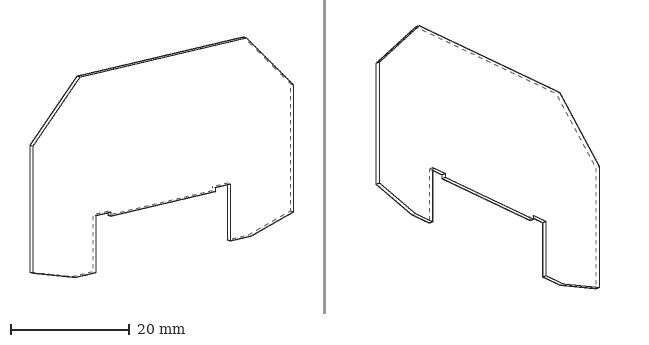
import cadquery as cq

thickness = 0.8
width = 56.5
height = 35.0

top_bevel = 10.2

foot_slope_width = 9.2
foot_slope_height = 2.5

notch_width = 29.1
notch_depth = 10.0
tab_width = 22.7
tab_drop = 0.7


def half_outline():
    """Corner points (y, z) of the +Y half, from the tab up to the top edge."""
    half_width = width / 2
    half_notch = notch_width / 2
    half_tab = tab_width / 2
    tab_bottom = notch_depth - tab_drop
    return [
        (half_tab, tab_bottom),
        (half_tab, notch_depth),
        (half_notch, notch_depth),
        (half_notch, 0),
        (half_width - foot_slope_width, 0),
        (half_width, foot_slope_height),
        (half_width, height - top_bevel),
        (half_width - top_bevel, height),
    ]


def make_plate():
    """Extrude the outline, symmetric about Y = 0, through the thickness."""
    right_half = half_outline()
    left_half = [(-y, z) for y, z in reversed(right_half)]
    outline = cq.Workplane("YZ").polyline(right_half + left_half).close()
    return outline.extrude(thickness / 2, both=True)


result = make_plate()